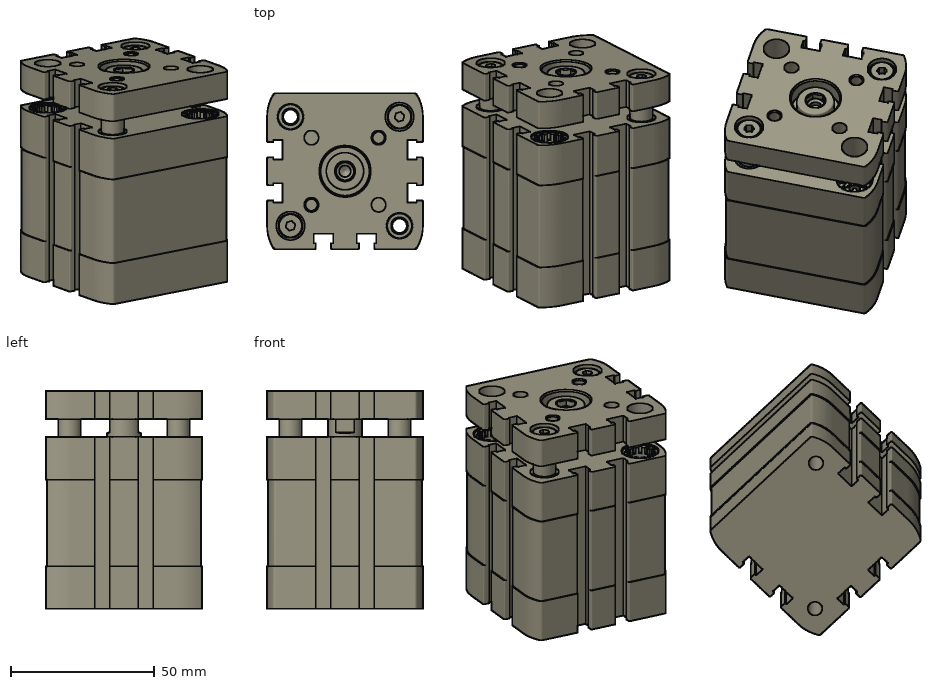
import cadquery as cq
import math

width = 54.5
half_width = width / 2
total_height = 76.1
plate_thickness = 9.9
housing_height = 60.0
cap_height = 14.85
barrel_inset = 0.3
plate_bottom = total_height - plate_thickness

corner_radius = 15.0
corner_center_x = half_width - corner_radius
corner_center_y = 19.0
corner_rounding = 1.0

slot_offset = 7.5
slot_mouth_width = 5.25
slot_pocket_width = 6.7
slot_mouth_half = slot_mouth_width / 2
slot_pocket_half = slot_pocket_width / 2
slot_lip_depth = 2.2
slot_depth = 5.4
slot_mouth_rounding = 0.45

corner_offset = 19.0
rod_points = [(-corner_offset, -corner_offset), (corner_offset, corner_offset)]
mount_points = [(-corner_offset, corner_offset), (corner_offset, -corner_offset)]
guide_rod_diameter = 8.0
guide_recess_diameter = 10.0
guide_recess_depth = 0.15
plate_access_diameter = 9.0

mount_diameter = 5.0
mount_bevel = 0.45
mount_bore_diameter = 8.6
mount_bore_depth = 6.1
mount_recess_diameter = 12.8
mount_recess_bevel = 0.115
mount_recess_depth = 0.6
notch_count = 12
notch_outer_radius = 5.5
notch_width = 1.15
notch_depth = 2.3

rod_pocket_diameter = 10.0
rod_pocket_depth = 2.0
rod_head_diameter = 8.5
rod_head_depth = 0.9
rod_head_bevel = 0.27
rod_socket_diameter = 3.5
rod_socket_depth = 3.05
rod_socket_angle = -45.0

small_hole_offset = 11.7
pin_diameter = 5.0
thread_diameter = 4.1
thread_bevel = (pin_diameter - thread_diameter) / 2

piston_rod_diameter = 12.0
flat_half_width = 5.0
flat_bottom = housing_height + 1.7
flat_slope_drop = 0.45
flat_slope_run = 1.1
center_pocket_diameter = 17.0
center_pocket_depth = 6.1
center_pocket_bevel = 0.5
screw_head_diameter = 13.0
screw_head_depth = 1.3
screw_head_rounding = 0.57
screw_socket_diameter = 7.15
screw_socket_depth = 2.5
screw_bore_diameter = 4.0
screw_bore_depth = 1.5
drill_point_angle = 118.0
drill_slope = 1 / math.tan(math.radians(drill_point_angle / 2))


def disc(points, diameter, bottom, top):
    """Upright cylinders at the given points, between two heights."""
    base = cq.Workplane("XY").workplane(offset=bottom).pushPoints(points)
    return base.circle(diameter / 2).extrude(top - bottom)


def cone(points, bottom_diameter, top_diameter, bottom, top):
    """Upright truncated cones at the given points, between two heights."""
    cones = cq.Workplane("XY")
    for x, y in points:
        solid = cq.Solid.makeCone(
            bottom_diameter / 2, top_diameter / 2, top - bottom, cq.Vector(x, y, bottom)
        )
        cones = cones.add(solid)
    return cones.combine()


def hexagon(points, diameter, angle, bottom, top):
    """Hexagonal prisms at the given points, turned by angle about their axes."""
    prisms = cq.Workplane("XY")
    for x, y in points:
        prism = cq.Workplane("XY").polygon(6, diameter).extrude(top - bottom)
        prism = prism.rotate((0, 0, 0), (0, 0, 1), angle).translate((x, y, bottom))
        prisms = prisms.add(prism)
    return prisms.combine()


def slot_cutter(half, bottom, top):
    """T-slot on the -Y side at X = 0, its mouth rounded into the face at Y = -half."""
    lip = half_width - slot_lip_depth
    floor = half_width - slot_depth
    flare = slot_mouth_half + slot_mouth_rounding
    bulge = slot_mouth_rounding * (1 - math.sqrt(0.5))
    outline = (
        cq.Workplane("XY").workplane(offset=bottom)
        .moveTo(-flare, -half)
        .threePointArc(
            (-slot_mouth_half - bulge, -half + bulge),
            (-slot_mouth_half, -half + slot_mouth_rounding),
        )
        .lineTo(-slot_mouth_half, -lip)
        .lineTo(-slot_pocket_half, -lip)
        .lineTo(-slot_pocket_half, -floor)
        .lineTo(slot_pocket_half, -floor)
        .lineTo(slot_pocket_half, -lip)
        .lineTo(slot_mouth_half, -lip)
        .lineTo(slot_mouth_half, -half + slot_mouth_rounding)
        .threePointArc((slot_mouth_half + bulge, -half + bulge), (flare, -half))
        .close()
    )
    return outline.extrude(top - bottom)


def slotted_block(inset, bottom, top):
    """Block with the common slotted outline, drawn in by inset on every outer face."""
    half = half_width - inset
    radius = corner_radius - inset
    rise = half - corner_center_y
    end_x = corner_center_x + math.sqrt(radius**2 - rise**2)
    half_angle = math.asin(rise / radius) / 2
    mid_x = corner_center_x + radius * math.cos(half_angle)
    mid_y = corner_center_y + radius * math.sin(half_angle)
    block = (
        cq.Workplane("XY").workplane(offset=bottom)
        .moveTo(half, -corner_center_y)
        .lineTo(half, corner_center_y)
        .threePointArc((mid_x, mid_y), (end_x, half))
        .lineTo(-end_x, half)
        .threePointArc((-mid_x, mid_y), (-half, corner_center_y))
        .lineTo(-half, -corner_center_y)
        .threePointArc((-mid_x, -mid_y), (-end_x, -half))
        .lineTo(end_x, -half)
        .threePointArc((mid_x, -mid_y), (half, -corner_center_y))
        .close()
        .extrude(top - bottom)
    )
    block = block.faces(">Y or <Y").edges("|Z").fillet(corner_rounding)
    cutter = slot_cutter(half, bottom, top)
    for side_angle in (-90, 0, 90):
        for offset in (-slot_offset, slot_offset):
            slot = cutter.translate((offset, 0, 0))
            block = block.cut(slot.rotate((0, 0, 0), (0, 0, 1), side_angle))
    return block


def mount_hole_cutter():
    """Through hole, bore, bevelled recess and notched ring of each mounting hole."""
    bore_floor = housing_height - mount_bore_depth
    recess_floor = housing_height - mount_recess_depth
    cutter = disc(mount_points, mount_diameter, 0, housing_height)
    cutter = cutter.union(cone(mount_points, mount_diameter, mount_diameter + 2 * mount_bevel,
                               bore_floor - mount_bevel, bore_floor))
    cutter = cutter.union(disc(mount_points, mount_bore_diameter, bore_floor, housing_height))
    cutter = cutter.union(disc(mount_points, mount_recess_diameter, recess_floor, housing_height))
    cutter = cutter.union(cone(mount_points, mount_recess_diameter,
                               mount_recess_diameter + 2 * mount_recess_bevel,
                               housing_height - mount_recess_bevel, housing_height))
    pitch = 360 / notch_count
    for x, y in mount_points:
        for index in range(notch_count):
            notch = cq.Workplane("XY").box(
                notch_outer_radius, notch_width, notch_depth, centered=(False, True, False)
            )
            notch = notch.rotate((0, 0, 0), (0, 0, 1), pitch * index)
            cutter = cutter.union(notch.translate((x, y, recess_floor - notch_depth)))
    return cutter


def make_housing():
    """Slightly narrower barrel between two end caps, with bores for the rods."""
    front_cap_bottom = housing_height - cap_height
    housing = slotted_block(0, 0, cap_height)
    housing = housing.union(slotted_block(barrel_inset, cap_height, front_cap_bottom))
    housing = housing.union(slotted_block(0, front_cap_bottom, housing_height))
    housing = housing.cut(disc([(0, 0)], piston_rod_diameter, front_cap_bottom, housing_height))
    housing = housing.cut(disc(rod_points, guide_rod_diameter, front_cap_bottom, housing_height))
    housing = housing.cut(disc(rod_points, guide_recess_diameter,
                               housing_height - guide_recess_depth, housing_height))
    return housing.cut(mount_hole_cutter())


def cut_plate_holes(plate):
    """Access holes, pin holes, thread holes and the pockets round the rod heads."""
    pin_points = [(-small_hole_offset, small_hole_offset), (small_hole_offset, -small_hole_offset)]
    thread_points = [(-small_hole_offset, -small_hole_offset), (small_hole_offset, small_hole_offset)]
    center = [(0, 0)]
    plate = plate.cut(disc(mount_points, plate_access_diameter, plate_bottom, total_height))
    plate = plate.cut(disc(pin_points, pin_diameter, plate_bottom, total_height))
    plate = plate.cut(disc(thread_points, thread_diameter, plate_bottom, total_height))
    plate = plate.cut(cone(thread_points, thread_diameter, pin_diameter,
                           total_height - thread_bevel, total_height))
    plate = plate.cut(disc(rod_points, rod_pocket_diameter,
                           total_height - rod_pocket_depth, total_height))
    plate = plate.cut(disc(center, center_pocket_diameter,
                           total_height - center_pocket_depth, total_height))
    return plate.cut(cone(center, center_pocket_diameter,
                          center_pocket_diameter + 2 * center_pocket_bevel,
                          total_height - center_pocket_bevel, total_height))


def make_guide_rods():
    """Guide rods with bevelled heads, and the cutter for their hexagon sockets."""
    head_top = total_height - rod_head_depth
    pocket_floor = total_height - rod_pocket_depth
    heads = disc(rod_points, rod_head_diameter, pocket_floor, head_top)
    heads = heads.faces(">Z").edges().chamfer(rod_head_bevel)
    rods = disc(rod_points, guide_rod_diameter, housing_height - cap_height, pocket_floor)
    rods = rods.union(heads)
    sockets = hexagon(rod_points, rod_socket_diameter, rod_socket_angle,
                      head_top - rod_socket_depth, head_top)
    return rods, sockets


def make_piston_rod():
    """Piston rod with two wrench flats under the plate."""
    rod = disc([(0, 0)], piston_rod_diameter, housing_height - cap_height, plate_bottom)
    slope_end = flat_half_width + flat_slope_run
    flat = (
        cq.Workplane("YZ")
        .moveTo(flat_half_width, plate_bottom)
        .lineTo(flat_half_width, flat_bottom)
        .lineTo(slope_end, flat_bottom - flat_slope_drop)
        .lineTo(piston_rod_diameter, flat_bottom - flat_slope_drop)
        .lineTo(piston_rod_diameter, plate_bottom)
        .close()
        .extrude(piston_rod_diameter / 2, both=True)
    )
    return rod.cut(flat).cut(flat.mirror("XZ"))


def make_screw_head():
    """Screw head in the central pocket, and the cutter for its hexagon socket and drilled bore."""
    center = [(0, 0)]
    head_top = total_height - screw_head_depth
    socket_flats = screw_socket_diameter * math.cos(math.pi / 6)
    socket_floor = head_top - screw_socket_depth
    bore_top = socket_floor - (socket_flats - screw_bore_diameter) / 2 * drill_slope
    bore_floor = bore_top - screw_bore_depth
    socket_bevel = (screw_socket_diameter - socket_flats) / 2
    head = disc(center, screw_head_diameter, total_height - center_pocket_depth, head_top)
    head = head.faces(">Z").edges().fillet(screw_head_rounding)
    recess = hexagon(center, screw_socket_diameter, 0, socket_floor, head_top)
    recess = recess.union(cone(center, socket_flats, screw_socket_diameter,
                               head_top - socket_bevel, head_top))
    recess = recess.union(cone(center, screw_bore_diameter, socket_flats, bore_top, socket_floor))
    recess = recess.union(disc(center, screw_bore_diameter, bore_floor, bore_top))
    recess = recess.union(cone(center, 0, screw_bore_diameter,
                               bore_floor - screw_bore_diameter / 2 * drill_slope, bore_floor))
    return head, recess


def make_moving_unit():
    """End plate joined to the piston rod, its screw head and the two guide rods."""
    unit = cut_plate_holes(slotted_block(0, plate_bottom, total_height))
    rods, rod_sockets = make_guide_rods()
    head, head_recess = make_screw_head()
    unit = unit.union(rods).union(make_piston_rod()).union(head)
    return unit.cut(rod_sockets).cut(head_recess)


housing = make_housing()
moving_unit = make_moving_unit()
result = cq.Compound.makeCompound([housing.solids().val(), moving_unit.solids().val()])